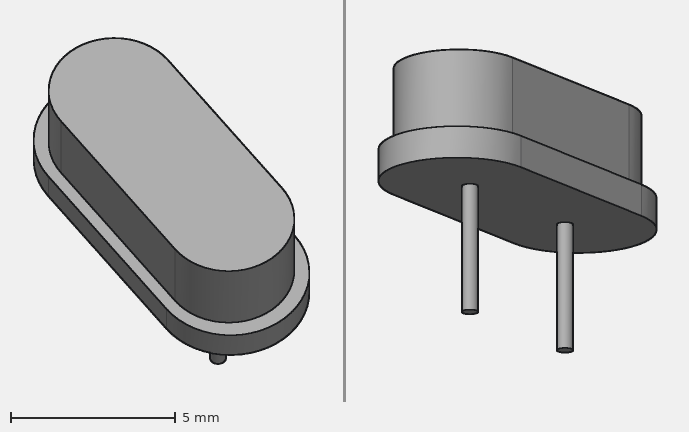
import cadquery as cq

flange_length = 11.0
flange_width = 4.8
flange_thickness = 1.0
cap_length = 10.0
cap_width = 4.0
cap_height = 2.6
lead_diameter = 0.5
lead_length = 4.0
lead_spacing = 4.88


def rounded_block(length, width, height, base_z):
    """Upright block with full semicircular ends along X."""
    return cq.Workplane("XY", origin=(0, 0, base_z)).slot2D(length, width).extrude(height)


flange = rounded_block(flange_length, flange_width, flange_thickness, 0)
cap = rounded_block(cap_length, cap_width, cap_height, flange_thickness)

leads = (
    cq.Workplane("XY")
    .pushPoints([(-lead_spacing / 2, 0), (lead_spacing / 2, 0)])
    .circle(lead_diameter / 2)
    .extrude(-lead_length)
)

result = flange.union(cap).union(leads)